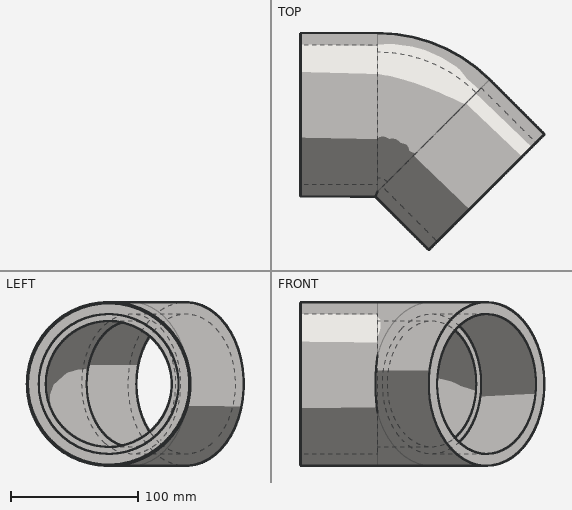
import cadquery as cq
import math

overall_x = 192.5
outer_diameter = 129.0
socket_diameter = 110.0
bore_diameter = 99.1
socket_depth = 61.0
bend_angle = 45.0
rim_chamfer = 1.0

outer_radius = outer_diameter / 2
angle = math.radians(bend_angle)

bend_outer_radius = (overall_x - socket_depth * (1 + math.cos(angle))) / math.sin(angle)
bend_radius = bend_outer_radius - outer_radius

inlet_plane = cq.Plane(origin=(0, 0, 0), xDir=(0, 1, 0), normal=(-1, 0, 0))
outlet_plane = cq.Plane(
    origin=(bend_radius * math.sin(angle), -bend_radius * (1 - math.cos(angle)), 0),
    xDir=(math.sin(angle), math.cos(angle), 0),
    normal=(math.cos(angle), -math.sin(angle), 0),
)


def make_leg(plane):
    """Straight outer leg running from the bend to its open end."""
    return cq.Workplane(plane).circle(outer_radius).extrude(socket_depth)


def make_socket(plane):
    """Cylindrical space that receives the pipe, stopping at the bend."""
    return cq.Workplane(plane).circle(socket_diameter / 2).extrude(socket_depth)


def sweep_bend(profile):
    """Turn a profile in the YZ plane about the vertical bend axis."""
    return profile.revolve(bend_angle, (-bend_radius, 2, 0), (-bend_radius, 0, 0))


def make_outer_bend():
    """Bend body; its round section is cut flat where it would cross the bend axis."""
    flat_half_height = math.sqrt(outer_radius**2 - bend_radius**2)
    profile = (
        cq.Workplane("YZ")
        .moveTo(-bend_radius, -flat_half_height)
        .threePointArc((0, -outer_radius), (outer_radius, 0))
        .threePointArc((0, outer_radius), (-bend_radius, flat_half_height))
        .close()
    )
    return sweep_bend(profile)


def make_bend_bore():
    """Curved flow passage between the two sockets."""
    return sweep_bend(cq.Workplane("YZ").circle(bore_diameter / 2))


inlet_leg = make_leg(inlet_plane).faces("<X").chamfer(rim_chamfer)
outlet_leg = make_leg(outlet_plane)

result = make_outer_bend().union(inlet_leg).union(outlet_leg)
for end_plane in (inlet_plane, outlet_plane):
    result = result.cut(make_socket(end_plane))
result = result.cut(make_bend_bore())